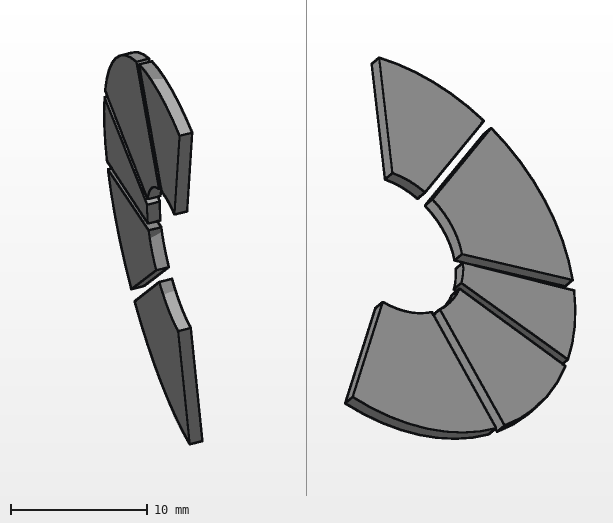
import cadquery as cq
import math

OUTER_RADIUS = 15.95
INNER_RADIUS = 6.0
THICKNESS = 1.0

SEGMENT_SIDES = [
    ((83.2, 0.4), (121.6, -0.6)),
    ((121.6, 0.13), (170.9, -0.22)),
    ((171.9, 0.38), (198.2, -0.45)),
    ((198.9, 0.05), (234.8, -0.57)),
    ((235.0, 0.3), (285.6, -0.48)),
]


def side_angle(side, radius):
    """Polar angle at which a straight side crosses a circle about the ring axis."""
    direction, offset = side
    return math.radians(direction) + math.asin(offset / radius)


def polar_point(radius, angle):
    return (radius * math.cos(angle), radius * math.sin(angle))


def make_segment(first_side, last_side):
    """Flat ring segment bounded by two arcs and two straight sides."""
    outer_start = side_angle(first_side, OUTER_RADIUS)
    outer_end = side_angle(last_side, OUTER_RADIUS)
    inner_start = side_angle(first_side, INNER_RADIUS)
    inner_end = side_angle(last_side, INNER_RADIUS)
    outer_middle = (outer_start + outer_end) / 2
    inner_middle = (inner_start + inner_end) / 2
    return (
        cq.Workplane("XZ")
        .moveTo(*polar_point(INNER_RADIUS, inner_start))
        .lineTo(*polar_point(OUTER_RADIUS, outer_start))
        .threePointArc(
            polar_point(OUTER_RADIUS, outer_middle), polar_point(OUTER_RADIUS, outer_end)
        )
        .lineTo(*polar_point(INNER_RADIUS, inner_end))
        .threePointArc(
            polar_point(INNER_RADIUS, inner_middle), polar_point(INNER_RADIUS, inner_start)
        )
        .close()
        .extrude(THICKNESS)
    )


segments = []
for first_side, last_side in SEGMENT_SIDES:
    segments.append(make_segment(first_side, last_side).val())

result = cq.Compound.makeCompound(segments)